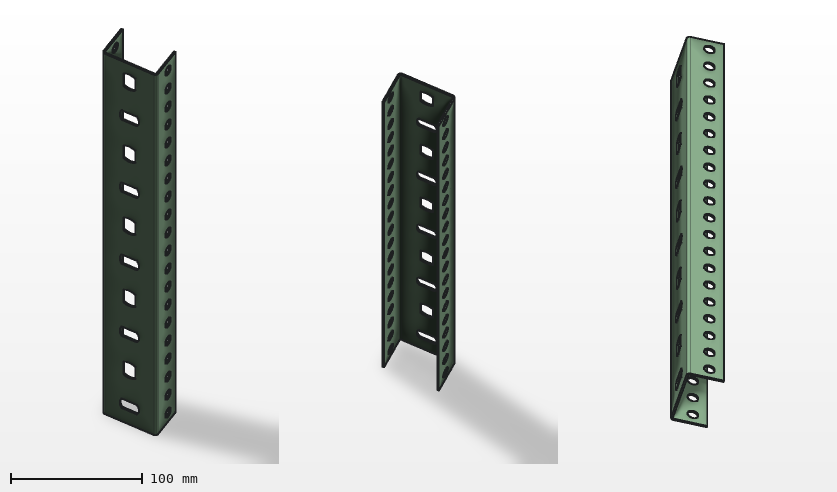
import cadquery as cq
import math

width = 48.0
depth = 29.0
length = 400.0
thickness = 1.5
inner_bend_radius = 1
outer_bend_radius = inner_bend_radius + thickness

slot_length = 17.0
slot_width = 10.5
slot_pitch = 40.0
cutter_reach = 2 * thickness
slot_count = int(length / slot_pitch)

hole_diameter = 8.5
hole_pitch = 20.0
hole_count = int(length / hole_pitch)
hole_from_web_face = 17.5


def make_channel():
    """Bent sheet channel standing along Z, with rounded bends inside and outside."""
    outer = (
        cq.Workplane("XY")
        .rect(width, depth)
        .extrude(length)
        .translate((0, depth / 2, 0))
        .edges("|Z and <Y")
        .fillet(outer_bend_radius)
    )
    inner = (
        cq.Workplane("XY")
        .rect(width - 2 * thickness, depth)
        .extrude(length)
        .translate((0, depth / 2 + thickness, 0))
        .edges("|Z and <Y")
        .fillet(inner_bend_radius)
    )
    return outer.cut(inner)


def slot_cutter(height, upright):
    """Cutter through the web at the given height, with straight sides and ends on one circle."""
    half_width = slot_width / 2
    half_length = slot_length / 2
    side_end = math.sqrt(half_length**2 - half_width**2)
    cutter = (
        cq.Workplane("XZ")
        .moveTo(-half_width, -side_end)
        .lineTo(-half_width, side_end)
        .threePointArc((0, half_length), (half_width, side_end))
        .lineTo(half_width, -side_end)
        .threePointArc((0, -half_length), (-half_width, -side_end))
        .close()
        .extrude(cutter_reach, both=True)
    )
    if not upright:
        cutter = cutter.rotate((0, 0, 0), (0, 1, 0), 90)
    return cutter.translate((0, 0, height))


def cut_web_slots(channel):
    """Cut the row of slots down from the top, beginning with an upright one."""
    for index in range(slot_count):
        height = length - slot_pitch * (index + 0.5)
        channel = channel.cut(slot_cutter(height, upright=index % 2 == 0))
    return channel


def cut_flange_holes(channel):
    """Drill the row of round holes through both flanges."""
    centres = [(hole_from_web_face, hole_pitch * (index + 0.5)) for index in range(hole_count)]
    drills = (
        cq.Workplane("YZ")
        .pushPoints(centres)
        .circle(hole_diameter / 2)
        .extrude(width / 2, both=True)
    )
    return channel.cut(drills)


result = cut_flange_holes(cut_web_slots(make_channel()))